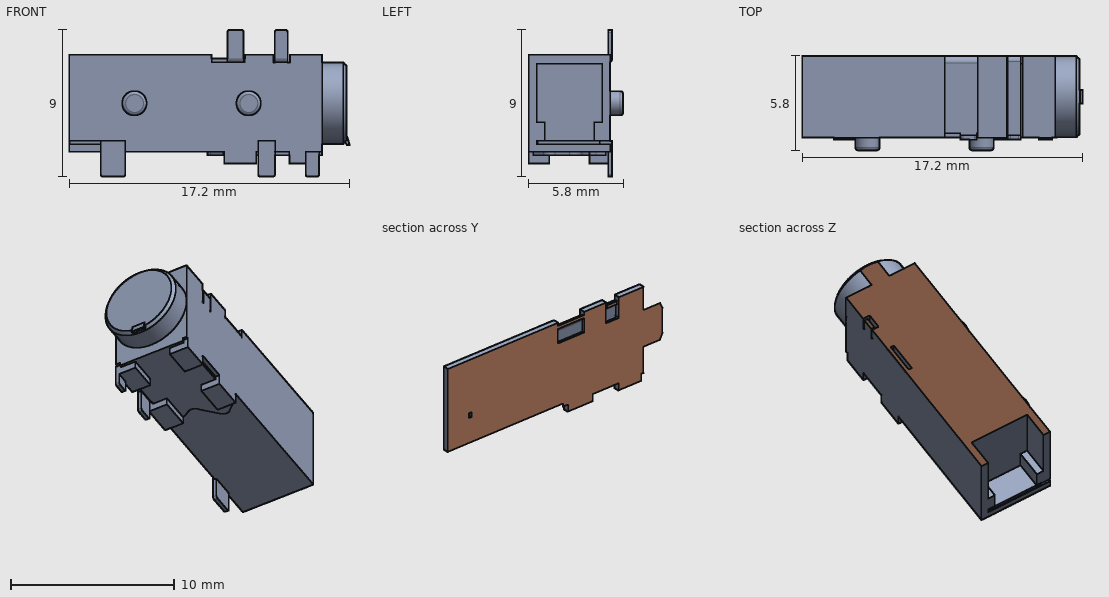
import cadquery as cq

body_length = 15.5
body_width = 5.0
body_half_height = 2.975
axis_y = body_width / 2

barrel_radius = 2.5
barrel_length = 1.5
barrel_chamfer = 0.2

peg_radius = 0.75
peg_length = 0.8
peg_edge_radius = 0.2
peg_positions_x = (4.0, 11.0)

sheet = 0.25
leg_half_span = 4.5
leg_corner_radius = 0.15
leg_root_radius = 0.225
leg_outer_y = -sheet / 2

cavity_depth = 1.87
cavity_wall = 0.5
cavity_top = 2.42
ledge_width = 0.48
ledge_top = -1.16
window_length = 0.2
window_height = 0.3
window_depth = 0.25

floor_top = -2.3
floor_sheet = 0.22
floor_bottom = floor_top - floor_sheet
floor_near_edge_y = 0.63
floor_far_edge_y = 4.45
floor_setback = 0.04

channel_floor = 2.5
channel_slot_depth = 1.0
channel_slot_y = 4.53
wide_channel = (8.73, 10.77)
narrow_channel = (12.53, 13.53)
narrow_strip = (12.6, 13.4)
wide_strip_start_y = 0.26
wide_bend_radius = 0.43
narrow_bend_radius = 0.32

wide_upper_leg = (9.7, 10.7)
rear_leg = (1.93, 3.45)
middle_leg = (11.58, 12.62)
front_leg = (14.49, 15.33)

foot_bottom = -3.7
foot_width = 1.28
rear_foot = (9.5, 11.48)
front_foot = (13.5, front_leg[1])

blade_bottom = -body_half_height - floor_sheet
blade_side_inset = 0.28
blade_standoff = 0.04
blade_shoulder_y = 0.89
blade_tip_x = 8.47
blade_tip_y = 3.75
blade_tip_half_width = 0.35
blade_tip_depth = 0.18
blade_far_corner_x = 9.2
blade_hollow = (9.85, 2.2)
blade_hollow_entry = (9.75, 1.75)
blade_hollow_exit = (9.6, 2.5)
blade_shoulder_bend = (9.52, 1.3)

tab_width = 0.85
tab_profile = [(16.8, -1.8), (17.05, -2.05), (17.2, -2.56), (17.02, -2.56), (16.8, -2.2)]


def block(x_range, y_range, z_range):
    """Box between the given (low, high) limits."""
    return cq.Workplane("XY").box(
        x_range[1] - x_range[0],
        y_range[1] - y_range[0],
        z_range[1] - z_range[0],
        centered=False,
    ).translate((x_range[0], y_range[0], z_range[0]))


def make_housing():
    """Rectangular housing with its four feet."""
    housing = block((0, body_length), (0, body_width), (-body_half_height, body_half_height))
    for foot in (rear_foot, front_foot):
        for foot_y in (0, body_width - foot_width):
            housing = housing.union(
                block(foot, (foot_y, foot_y + foot_width), (foot_bottom, -body_half_height))
            )
    return housing


def cut_cavity(housing):
    """Stepped opening in the -X end, with a small window in its +Y wall."""
    depth = (0, cavity_depth)
    far_wall_y = body_width - cavity_wall
    upper = block(depth, (cavity_wall, far_wall_y), (ledge_top, cavity_top))
    lower = block(
        depth,
        (cavity_wall + ledge_width, far_wall_y - ledge_width),
        (floor_top, ledge_top),
    )
    window = block(
        (cavity_depth - window_length, cavity_depth),
        (far_wall_y, far_wall_y + window_depth),
        (ledge_top, ledge_top + window_height),
    )
    return housing.cut(upper).cut(lower).cut(window)


def cut_floor_slot(housing):
    """Gaps around the contact plate, which fills the rest of its slot."""
    slot_end_y = body_width - cavity_wall
    for gap in ((0, floor_near_edge_y), (floor_far_edge_y, slot_end_y)):
        housing = housing.cut(block((0, rear_leg[0]), gap, (floor_bottom, floor_top)))
    return housing.cut(block((0, floor_setback), (0, slot_end_y), (floor_bottom, floor_top)))


def cut_channel(housing, channel):
    """Channel across the top that turns down into the +Y side."""
    across = block(channel, (0, body_width), (channel_floor, body_half_height))
    down = block(
        channel,
        (channel_slot_y, body_width),
        (channel_floor - channel_slot_depth, channel_floor),
    )
    return housing.cut(across).cut(down)


def make_strip(x_range, start_y, bend_radius):
    """Strip lying on a channel floor and bent down at the +Y side."""
    top = channel_floor + sheet
    bottom = channel_floor - channel_slot_depth
    inner_radius = bend_radius - sheet
    bend_y = body_width - bend_radius
    bend_z = top - bend_radius
    return (
        cq.Workplane("YZ", origin=(x_range[0], 0, 0))
        .moveTo(start_y, channel_floor)
        .lineTo(start_y, top)
        .lineTo(bend_y, top)
        .radiusArc((body_width, bend_z), bend_radius)
        .lineTo(body_width, bottom)
        .lineTo(body_width - sheet, bottom)
        .lineTo(body_width - sheet, bend_z)
        .radiusArc((bend_y, channel_floor), -inner_radius)
        .close()
        .extrude(x_range[1] - x_range[0])
    )


def make_upper_leg(x_range):
    """Leg rising along the mounting face, bent at its root into a channel."""
    upright = block(x_range, (leg_outer_y, leg_outer_y + sheet), (channel_floor, leg_half_span))
    root = block(
        x_range,
        (leg_outer_y, wide_strip_start_y),
        (channel_floor, channel_floor + sheet),
    )
    upright = upright.edges("|Y and >Z").fillet(leg_corner_radius)
    leg = upright.union(root)
    return leg.edges("|X and <Y and <Z").fillet(leg_root_radius)


def make_lower_leg(x_range, top):
    """Flat leg hanging along the mounting face."""
    leg = block(x_range, (leg_outer_y, leg_outer_y + sheet), (-leg_half_span, top))
    return leg.edges("|Y and <Z").fillet(leg_corner_radius)


def make_blade():
    """Flat spring blade with a hooked -X end."""
    near_y = blade_side_inset
    far_y = body_width - blade_side_inset
    shoulder_x = rear_foot[0] - blade_standoff
    tip_base_x = blade_tip_x + blade_tip_depth
    return (
        cq.Workplane("XY", origin=(0, 0, blade_bottom))
        .moveTo(body_length, near_y)
        .lineTo(shoulder_x, near_y)
        .lineTo(shoulder_x, blade_shoulder_y)
        .threePointArc(blade_shoulder_bend, blade_hollow_entry)
        .threePointArc(blade_hollow, blade_hollow_exit)
        .lineTo(tip_base_x, blade_tip_y - blade_tip_half_width)
        .threePointArc((blade_tip_x, blade_tip_y), (tip_base_x, blade_tip_y + blade_tip_half_width))
        .lineTo(blade_far_corner_x, far_y)
        .lineTo(body_length, far_y)
        .close()
        .extrude(-body_half_height - blade_bottom)
    )


def make_barrel():
    """Round barrel with a chamfered rim and the curled tab below its mouth."""
    barrel = (
        cq.Workplane("YZ", origin=(body_length, axis_y, 0))
        .circle(barrel_radius)
        .extrude(barrel_length)
        .faces(">X")
        .chamfer(barrel_chamfer)
    )
    tab = (
        cq.Workplane("XZ", origin=(0, axis_y, 0))
        .polyline(tab_profile)
        .close()
        .extrude(tab_width / 2, both=True)
    )
    return barrel.union(tab)


def make_peg(x):
    """Round locating peg with a rounded rim."""
    return (
        cq.Workplane("XZ", origin=(x, 0, 0))
        .circle(peg_radius)
        .extrude(peg_length)
        .faces("<Y")
        .edges()
        .fillet(peg_edge_radius)
    )


housing = cut_floor_slot(cut_cavity(make_housing()))
for channel in (wide_channel, narrow_channel):
    housing = cut_channel(housing, channel)

parts = [
    make_barrel(),
    make_blade(),
    make_strip(wide_channel, wide_strip_start_y, wide_bend_radius),
    make_strip(narrow_strip, leg_outer_y + sheet, narrow_bend_radius),
    make_upper_leg(wide_upper_leg),
    make_upper_leg(narrow_strip),
    make_lower_leg(rear_leg, floor_top),
    make_lower_leg(middle_leg, floor_top),
    make_lower_leg(front_leg, -body_half_height),
]
parts += [make_peg(x) for x in peg_positions_x]

result = housing
for part in parts:
    result = result.union(part)